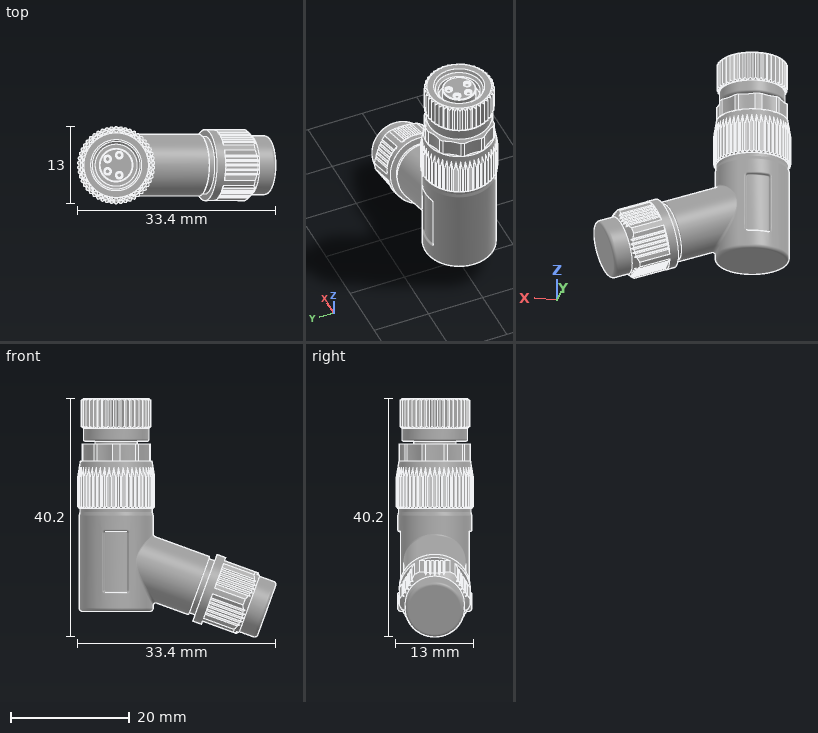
import cadquery as cq
import math

body_diameter = 12.52
body_radius = body_diameter / 2
body_shoulder_z = 16.15
body_top_z = 17.35
body_bottom_fillet = 0.6
collar_radius = 6.1
shoulder_height = 0.55

plate_width = 4.03
plate_height = 10.25
plate_center_z = 8.37
plate_corner_radius = 0.32
plate_depth = 0.5
plate_floor_fillet = 0.15
plate_rim_fillet = 0.3

sleeve_diameter = 13.0
sleeve_top_diameter = 12.1
sleeve_radius = sleeve_diameter / 2
sleeve_top_radius = sleeve_top_diameter / 2
sleeve_height = 8.0
sleeve_cone_height = 2.7
sleeve_top_z = body_top_z + sleeve_height
sleeve_chamfer = 0.32
sleeve_root_radius = 6.25
sleeve_groove_count = 50
sleeve_groove_width = 0.65

ring_height = 2.9
ring_top_z = sleeve_top_z + ring_height
ring_radius = 6.0
ring_scallop_root_radius = 5.65
ring_scallop_count = 10
ring_land_angle = 6.0
ring_wide_land_angle = 12.0

neck_radius = 3.6
neck_height = 0.4
nut_collar_radius = 5.55
nut_collar_height = 2.17
nut_collar_fillet = 0.4
nut_knurl_height = 5.1
nut_bottom_z = ring_top_z + neck_height
nut_knurl_z = nut_bottom_z + nut_collar_height
nut_top_z = nut_knurl_z + nut_knurl_height
nut_tip_radius = 5.9
nut_root_radius = 5.45
nut_chamfer_height = 0.35
nut_tooth_count = 40

mouth_radius = 4.3
mouth_depth = 0.6
seat_radius = 4.03
socket_radius = 3.55
socket_lead_depth = 1.05
socket_depth = 2.4
insert_radius = 2.8
insert_chamfer = 0.12
insert_depth = 0.52
insert_top_z = nut_top_z - insert_depth
contact_positions = [(-1.45, 1.05), (-1.45, -1.05), (0.52, 1.7), (0.52, -1.7)]
contact_steps = [(0.65, 0.12), (0.52, 0.25), (0.4, 0.35)]

branch_tilt = 20.0
branch_origin_z = 9.45
branch_radius = 5.25
branch_length = 14.9
branch_end_fillet = 0.2
branch_root_fillet = 0.4
neck_groove_radius = 4.87
neck_groove_width = 1.0
flange_width = 1.57
flange_start = branch_length + neck_groove_width
flange_end = flange_start + flange_width
gland_radius = 6.0
gland_cone_start = 22.95
gland_cone_end = 23.9
tail_radius = 5.0
tail_end = 27.0
tail_fillet = 0.6
flat_count = 6
flat_distance = 5.45
flat_groove_count = 5
flat_groove_pitch = 0.75
flat_groove_width = 0.32
flat_groove_depth = 0.32

overshoot = 0.4


def revolve_profile(points):
    """Revolve a closed (radius, z) outline about the Z axis."""
    return cq.Workplane("XZ").polyline(points).close().revolve(360, (0, 0, 0), (0, 1, 0))


def cylinder(radius, z_low, z_high):
    return cq.Workplane("XY", origin=(0, 0, z_low)).circle(radius).extrude(z_high - z_low)


def polar(radius, degrees):
    angle = math.radians(degrees)
    return (radius * math.cos(angle), radius * math.sin(angle))


def make_body():
    shell = revolve_profile([
        (0, 0), (body_radius, 0), (body_radius, body_shoulder_z),
        (collar_radius, body_shoulder_z + shoulder_height),
        (collar_radius, body_top_z), (0, body_top_z),
    ])
    return shell.faces("<Z").edges().fillet(body_bottom_fillet)


def make_plate_cutters():
    """Rounded rectangular blocks whose inner face follows the curved body wall."""
    floor_radius = body_radius - plate_depth
    block = (
        cq.Workplane("XZ", origin=(0, 0, plate_center_z))
        .rect(plate_width, plate_height)
        .extrude(body_radius + overshoot)
        .edges("|Y").fillet(plate_corner_radius)
    )
    block = block.cut(cylinder(floor_radius, 0, body_shoulder_z))
    floor = cq.selectors.NearestToPointSelector((0, -floor_radius, plate_center_z))
    block = block.faces(floor).edges().fillet(plate_floor_fillet)
    return block.union(block.mirror("XZ"))


def cut_plates(body):
    """Sink a plate recess into each flank and round its rim."""
    body = body.cut(make_plate_cutters())
    wall_face = cq.selectors.NearestToPointSelector((-body_radius, 0, plate_center_z))
    rims = cq.selectors.BoxSelector(
        (-plate_width, -2 * body_radius, plate_center_z - plate_height),
        (plate_width, 2 * body_radius, plate_center_z + plate_height),
    )
    return body.faces(wall_face).edges(rims).fillet(plate_rim_fillet)


def make_sleeve():
    sleeve = revolve_profile([
        (0, body_top_z), (sleeve_radius - sleeve_chamfer, body_top_z),
        (sleeve_radius, body_top_z + sleeve_chamfer), (sleeve_radius, sleeve_top_z - sleeve_cone_height),
        (sleeve_top_radius, sleeve_top_z), (0, sleeve_top_z),
    ])
    groove = (
        cq.Workplane("XY", origin=(0, 0, body_top_z))
        .polyline([
            (sleeve_root_radius, 0), (sleeve_radius, sleeve_groove_width / 2),
            (sleeve_radius + overshoot, 0), (sleeve_radius, -sleeve_groove_width / 2),
        ])
        .close().extrude(sleeve_top_z - body_top_z)
    )
    for index in range(sleeve_groove_count):
        angle = index * 360 / sleeve_groove_count
        sleeve = sleeve.cut(groove.rotate((0, 0, 0), (0, 0, 1), angle))
    return sleeve


def make_wrench_ring():
    ring = cylinder(ring_radius, sleeve_top_z, ring_top_z)
    pitch = 360 / ring_scallop_count
    wide_lands = (0, ring_scallop_count // 2)
    land_angles = [
        ring_wide_land_angle if index in wide_lands else ring_land_angle
        for index in range(ring_scallop_count)
    ]
    for index in range(ring_scallop_count):
        next_land = (index + 1) % ring_scallop_count
        start = -90 + pitch * index + land_angles[index] / 2
        end = -90 + pitch * (index + 1) - land_angles[next_land] / 2
        middle = (start + end) / 2
        scallop = (
            cq.Workplane("XY", origin=(0, 0, sleeve_top_z))
            .moveTo(*polar(ring_radius, start))
            .threePointArc(polar(ring_scallop_root_radius, middle), polar(ring_radius, end))
            .lineTo(*polar(ring_radius + overshoot, middle))
            .close()
            .extrude(ring_top_z - sleeve_top_z)
        )
        ring = ring.cut(scallop)
    return ring


def make_nut():
    collar = cylinder(nut_collar_radius, nut_bottom_z, nut_knurl_z)
    collar = collar.faces("<Z").edges().fillet(nut_collar_fillet)
    pitch = 360 / nut_tooth_count
    outline = []
    for index in range(nut_tooth_count):
        outline.append(polar(nut_root_radius, index * pitch))
        outline.append(polar(nut_tip_radius, (index + 0.5) * pitch))
    knurl = (
        cq.Workplane("XY", origin=(0, 0, nut_knurl_z))
        .polyline(outline).close().extrude(nut_top_z - nut_knurl_z)
    )
    envelope = revolve_profile([
        (0, nut_knurl_z), (nut_root_radius, nut_knurl_z),
        (nut_tip_radius, nut_knurl_z + nut_chamfer_height),
        (nut_tip_radius, nut_top_z - nut_chamfer_height), (nut_root_radius, nut_top_z), (0, nut_top_z),
    ])
    neck = cylinder(neck_radius, ring_top_z, nut_bottom_z)
    return neck.union(collar).union(knurl.intersect(envelope))


def make_socket():
    """Void in the nut mouth, leaving the contact insert standing in the middle."""
    floor_z = nut_top_z - socket_depth
    void = revolve_profile([
        (0, floor_z), (socket_radius, floor_z), (socket_radius, nut_top_z - socket_lead_depth),
        (seat_radius, nut_top_z - mouth_depth), (mouth_radius, nut_top_z), (0, nut_top_z),
    ])
    insert = cylinder(insert_radius, floor_z, insert_top_z).faces(">Z").edges().chamfer(insert_chamfer)
    void = void.cut(insert)
    for radius, depth in contact_steps:
        holes = (
            cq.Workplane("XY", origin=(0, 0, insert_top_z))
            .pushPoints(contact_positions).circle(radius).extrude(-depth)
        )
        void = void.union(holes)
    return void


def make_gland():
    """Groove, flange, knurled gland and tail, built along +Z from the branch origin."""
    gland = revolve_profile([
        (0, branch_length), (neck_groove_radius, branch_length), (neck_groove_radius, flange_start),
        (gland_radius, flange_start), (gland_radius, gland_cone_start), (tail_radius, gland_cone_end),
        (tail_radius, tail_end), (0, tail_end),
    ])
    gland = gland.faces(">Z").edges().fillet(tail_fillet)
    length = gland_cone_end - flange_end
    cutter_depth = gland_radius - flat_distance + overshoot
    for index in range(flat_count):
        cutter = (
            cq.Workplane("XY", origin=(0, 0, flange_end))
            .center(flat_distance + cutter_depth / 2, 0)
            .rect(cutter_depth, 2 * gland_radius)
            .extrude(length)
        )
        for step in range(flat_groove_count):
            center = (step - (flat_groove_count - 1) / 2) * flat_groove_pitch
            groove = (
                cq.Workplane("XY", origin=(0, 0, flange_end))
                .polyline([
                    (flat_distance, center - flat_groove_width / 2),
                    (flat_distance - flat_groove_depth, center),
                    (flat_distance, center + flat_groove_width / 2),
                ])
                .close().extrude(length)
            )
            cutter = cutter.union(groove)
        cutter = cutter.rotate((0, 0, 0), (0, 0, 1), index * 360 / flat_count)
        gland = gland.cut(cutter)
    return gland


def place_on_branch(shape):
    return shape.rotate((0, 0, 0), (0, 1, 0), 90 + branch_tilt).translate((0, 0, branch_origin_z))


def make_housing():
    """Body and branch blended together; their meeting curve is the only free-form edge."""
    branch = cylinder(branch_radius, 0, branch_length).faces(">Z").edges().fillet(branch_end_fillet)
    housing = make_body().union(place_on_branch(branch))
    housing = housing.edges("%BSPLINE").fillet(branch_root_fillet)
    return cut_plates(housing)


result = (
    make_housing()
    .union(place_on_branch(make_gland()))
    .union(make_sleeve())
    .union(make_wrench_ring())
    .union(make_nut())
    .cut(make_socket())
)